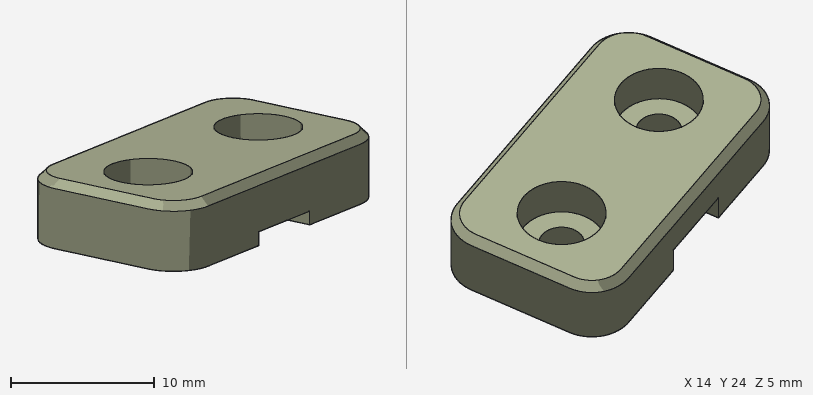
import cadquery as cq

width = 14.0
length = 24.0
height = 5.0
corner_radius = 3.0
top_chamfer = 0.6

hole_spacing = 13.0
hole_diameter = 3.2
counterbore_diameter = 6.2
counterbore_depth = 3.0

channel_width = 6.0
deep_channel_height = 2.0
shallow_channel_height = 1.0


def make_plate():
    """Rounded plate standing on Z = 0 with a chamfered top rim."""
    plate = cq.Workplane("XY").rect(width, length).extrude(height)
    plate = plate.edges("|Z").fillet(corner_radius)
    return plate.faces(">Z").chamfer(top_chamfer)


def drill_screw_holes(plate):
    """Two through holes counterbored from the top."""
    centers = [(0, -hole_spacing / 2), (0, hole_spacing / 2)]
    return (
        plate.faces(">Z").workplane(origin=(0, 0, height))
        .pushPoints(centers)
        .cboreHole(hole_diameter, counterbore_diameter, counterbore_depth)
    )


def make_channel():
    """Cutter for the stepped channel, profiled in XZ and centred on Y = 0."""
    half_width = width / 2
    return (
        cq.Workplane("XZ")
        .moveTo(-half_width, 0)
        .lineTo(half_width, 0)
        .lineTo(half_width, shallow_channel_height)
        .lineTo(0, shallow_channel_height)
        .lineTo(0, deep_channel_height)
        .lineTo(-half_width, deep_channel_height)
        .close()
        .extrude(channel_width / 2, both=True)
    )


result = drill_screw_holes(make_plate()).cut(make_channel())